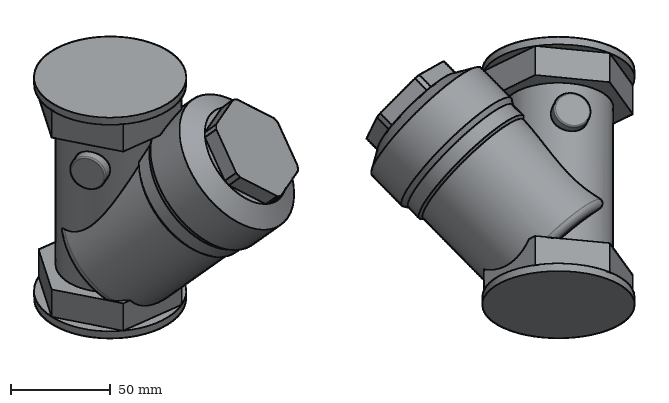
import cadquery as cq
import math

TOTAL_HEIGHT = 131.0
PIPE_RADIUS = 27.5
FLANGE_RADIUS = 38.2
FLANGE_THICKNESS = 4.3
HEX_HEIGHT = 16.2

BOSS_RADIUS = 9.5
BOSS_HEIGHT = 93.3
BOSS_SPAN = 65.7
BOSS_EDGE = 0.8

BRANCH_ANGLE = 45
BRANCH_ORIGIN_HEIGHT = 27.6
ORIGIN_OFFSET = BRANCH_ORIGIN_HEIGHT * math.sin(math.radians(BRANCH_ANGLE))
BRANCH_RADIUS = 35.4
BRANCH_START = 20.0 - ORIGIN_OFFSET
BRANCH_END_ROUND = 4.0

COLLAR_RADIUS = 36.7
COLLAR_START = 81.3 - ORIGIN_OFFSET
COLLAR_CHAMFER = 1.3

CAP_RADIUS = 38.5
CAP_START = 90.5 - ORIGIN_OFFSET
CAP_CHAMFER_LENGTH = 3.0
CONE_START = 115.3 - ORIGIN_OFFSET
CONE_TOP = 122.0 - ORIGIN_OFFSET
HEAD_TOP = 130.6 - ORIGIN_OFFSET
HEAD_ACROSS_FLATS = 49.1
HEAD_CORNER_RADIUS = 27.5


def make_pipe_end(flange_bottom, hex_bottom):
    """Round end flange with a hexagon beside it, corners on the X axis."""
    flange_base = cq.Workplane("XY").workplane(offset=flange_bottom)
    flange = flange_base.circle(FLANGE_RADIUS).extrude(FLANGE_THICKNESS)
    hex_base = cq.Workplane("XY").workplane(offset=hex_bottom)
    hexagon = hex_base.polygon(6, 2 * FLANGE_RADIUS).extrude(HEX_HEIGHT)
    return flange.union(hexagon)


def make_bosses():
    """One bar through the pipe forms the two opposite bosses."""
    return (
        cq.Workplane("XZ")
        .center(0, BOSS_HEIGHT)
        .circle(BOSS_RADIUS)
        .extrude(BOSS_SPAN / 2, both=True)
        .faces("|Y")
        .edges()
        .fillet(BOSS_EDGE)
    )


def make_branch_body():
    """Revolved branch, collar and cap, built upright along Z."""
    round_middle = BRANCH_END_ROUND * (1 - math.sqrt(0.5))
    return (
        cq.Workplane("XZ")
        .moveTo(0, BRANCH_START)
        .lineTo(BRANCH_RADIUS - BRANCH_END_ROUND, BRANCH_START)
        .threePointArc(
            (BRANCH_RADIUS - round_middle, BRANCH_START + round_middle),
            (BRANCH_RADIUS, BRANCH_START + BRANCH_END_ROUND),
        )
        .lineTo(BRANCH_RADIUS, COLLAR_START)
        .lineTo(COLLAR_RADIUS, COLLAR_START + COLLAR_CHAMFER)
        .lineTo(COLLAR_RADIUS, CAP_START)
        .lineTo(CAP_RADIUS, CAP_START + CAP_CHAMFER_LENGTH)
        .lineTo(CAP_RADIUS, CONE_START)
        .lineTo(HEAD_CORNER_RADIUS, CONE_TOP)
        .lineTo(0, CONE_TOP)
        .close()
        .revolve(360, (0, 0), (0, 1))
    )


def make_cap_head():
    """Hexagonal head with its corners trimmed, flats facing X."""
    head_base = cq.Workplane("XY").workplane(offset=CONE_TOP)
    head_height = HEAD_TOP - CONE_TOP
    across_corners = HEAD_ACROSS_FLATS / math.cos(math.radians(30))
    hexagon = (
        head_base.transformed(rotate=(0, 0, 90))
        .polygon(6, across_corners)
        .extrude(head_height)
    )
    return hexagon.intersect(head_base.circle(HEAD_CORNER_RADIUS).extrude(head_height))


def make_branch():
    """Branch with cap, tilted from Z toward +X."""
    upright = make_branch_body().union(make_cap_head())
    tilted = upright.rotate((0, 0, 0), (0, 1, 0), BRANCH_ANGLE)
    return tilted.translate((0, 0, BRANCH_ORIGIN_HEIGHT))


pipe = cq.Workplane("XY").circle(PIPE_RADIUS).extrude(TOTAL_HEIGHT)
lower_end = make_pipe_end(0, FLANGE_THICKNESS)
upper_flange_bottom = TOTAL_HEIGHT - FLANGE_THICKNESS
upper_end = make_pipe_end(upper_flange_bottom, upper_flange_bottom - HEX_HEIGHT)

result = pipe.union(lower_end).union(upper_end).union(make_bosses()).union(make_branch())